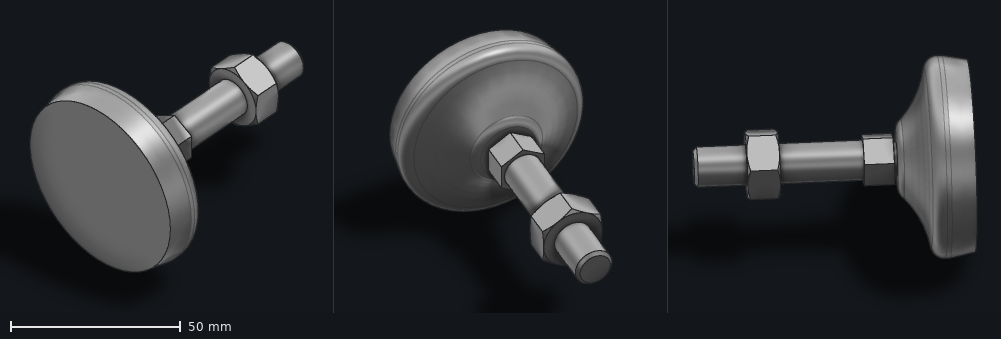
import cadquery as cq
import math

total_length = 82.0

foot_radius = 60.0 / 2
base_radius = 28.5
cone_height = 7.5
band_top = 8.85
shoulder_radius = 4.1
shoulder_sweep = math.radians(80)
flare_top = (11.8, 20.3)
crown_mid = (10.7, 21.4)
crown_radius = 9.0
foot_height = 22.0

rod_diameter = 12.0
rod_chamfer = 1.1
neck_diameter = 10.0

drive_start = 23.0
drive_end = 31.9
drive_flats = 14.0
nut_start = 56.8
nut_end = 66.5
nut_flats = 19.0
nut_chamfer_angle = math.radians(30)


def cylinder(diameter, start, end):
    """Cylinder on the Y axis between two heights."""
    plane = cq.Workplane("XZ", origin=(0, start, 0))
    return plane.circle(diameter / 2).extrude(start - end)


def corner_radius(flats):
    """Radius through the corners of a hexagon of the given width across flats."""
    return flats / 2 / math.cos(math.pi / 6)


def hexagon(flats, start, end):
    """Hexagonal prism on the Y axis, with two corners on the Z axis."""
    radius = corner_radius(flats)
    corner_angles = [math.radians(90 + 60 * i) for i in range(6)]
    corners = [(radius * math.cos(a), radius * math.sin(a)) for a in corner_angles]
    plane = cq.Workplane("XZ", origin=(0, start, 0))
    return plane.polyline(corners).close().extrude(start - end)


def make_foot():
    """Revolved foot: tapered rim, rounded shoulder, concave flare and crown."""
    shoulder_center = foot_radius - shoulder_radius

    def on_shoulder(angle):
        return (
            shoulder_center + shoulder_radius * math.cos(angle),
            band_top + shoulder_radius * math.sin(angle),
        )

    profile = (
        cq.Workplane("XY")
        .lineTo(base_radius, 0)
        .lineTo(foot_radius, cone_height)
        .lineTo(foot_radius, band_top)
        .threePointArc(on_shoulder(shoulder_sweep / 2), on_shoulder(shoulder_sweep))
        .tangentArcPoint(flare_top, relative=False)
        .threePointArc(crown_mid, (crown_radius, foot_height))
        .lineTo(0, foot_height)
        .close()
    )
    return profile.revolve(360, (0, 0), (0, 1))


def make_nut():
    """Hexagonal nut with its corners turned down by a cone at both ends."""
    face_radius = nut_flats / 2
    tip_radius = corner_radius(nut_flats)
    bevel = (tip_radius - face_radius) * math.tan(nut_chamfer_angle)
    envelope = (
        cq.Workplane("XY")
        .moveTo(0, nut_start)
        .lineTo(face_radius, nut_start)
        .lineTo(tip_radius, nut_start + bevel)
        .lineTo(tip_radius, nut_end - bevel)
        .lineTo(face_radius, nut_end)
        .lineTo(0, nut_end)
        .close()
        .revolve(360, (0, 0), (0, 1))
    )
    return hexagon(nut_flats, nut_start, nut_end).intersect(envelope)


neck = cylinder(neck_diameter, foot_height, drive_start)
drive = hexagon(drive_flats, drive_start, drive_end)
rod = cylinder(rod_diameter, drive_end, total_length).faces(">Y").chamfer(rod_chamfer)

result = make_foot().union(neck).union(drive).union(rod).union(make_nut())